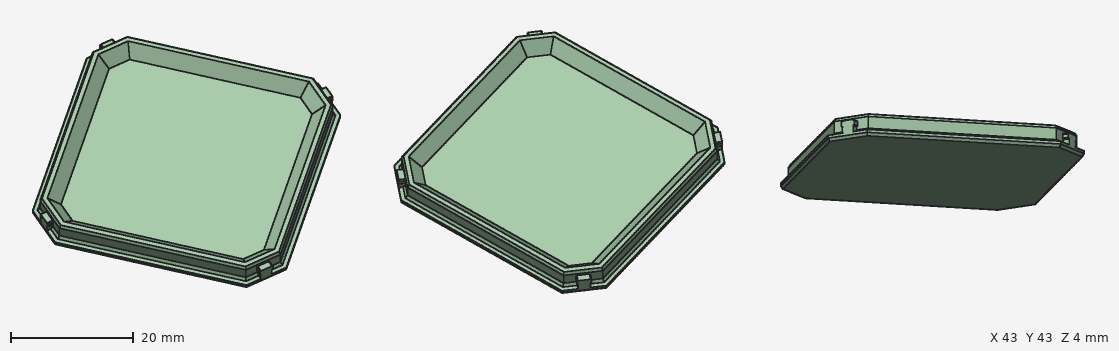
import cadquery as cq
import math

side = 43.0
corner_cut = 5.25
height = 4.0

flange_bottom_z = 0.5
flange_top_z = 1.0
wall_bottom_z = 1.5
wall_top_z = 3.5

base_inset = 0.3
skirt_inset = 0.75
wall_inset = 1.1
rim_inset = 1.4
pocket_inset = 2.25
floor_inset = 4.3

pocket_depth = 2.05

clip_stem_width = 2.05
clip_head_width = 2.45
clip_neck_z = 1.98
clip_head_bottom_z = 2.2
clip_head_top_z = 2.8
clip_top_z = 3.05
clip_overlap = 0.2


def octagon(inset):
    """Corner points of the tray outline moved inward by an equal distance on all eight sides."""
    half = side / 2 - inset
    cut = corner_cut - inset * (2 - math.sqrt(2))
    short = half - cut
    return [
        (short, half), (half, short), (half, -short), (short, -half),
        (-short, -half), (-half, -short), (-half, short), (-short, half),
    ]


def layer(bottom_z, bottom_inset, top_z, top_inset):
    """Slab between two octagons, with sloping sides where their insets differ."""
    return (
        cq.Workplane("XY", origin=(0, 0, bottom_z)).polyline(octagon(bottom_inset)).close()
        .workplane(offset=top_z - bottom_z).polyline(octagon(top_inset)).close()
        .loft(ruled=True, combine=True)
    )


def clip(angle):
    """Clip flush with the flange edge, with a head wider than its stem."""
    stem = clip_stem_width / 2
    head = clip_head_width / 2
    corner_distance = (side - corner_cut) / math.sqrt(2)
    profile = [
        (-stem, flange_bottom_z), (stem, flange_bottom_z), (stem, clip_neck_z),
        (head, clip_head_bottom_z), (head, clip_head_top_z), (stem, clip_top_z),
        (-stem, clip_top_z), (-head, clip_head_top_z), (-head, clip_head_bottom_z),
        (-stem, clip_neck_z),
    ]
    return (
        cq.Workplane("YZ", origin=(corner_distance, 0, 0)).polyline(profile).close()
        .extrude(-(wall_inset + clip_overlap))
        .rotate((0, 0, 0), (0, 0, 1), angle)
    )


body = layer(0, base_inset, flange_bottom_z, 0)
body = body.union(layer(flange_bottom_z, 0, flange_top_z, 0))
body = body.union(layer(flange_top_z, skirt_inset, wall_bottom_z, wall_inset))
body = body.union(layer(wall_bottom_z, wall_inset, wall_top_z, wall_inset))
body = body.union(layer(wall_top_z, wall_inset, height, rim_inset))

body = body.cut(layer(height - pocket_depth, floor_inset, height, pocket_inset))

for angle in (45, 135, 225, 315):
    body = body.union(clip(angle))

result = body